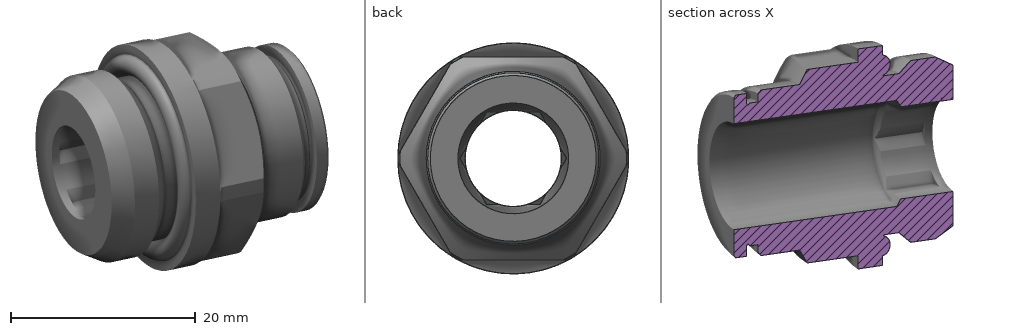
import cadquery as cq
import math


length = 26.4
collar_end = 1.55
groove_root = 1.72
neck_start = 1.93
body_start = 2.9
body_end = 7.92
flange_start = 14.92
flange_end = 17.9
seal_end = 18.83
relief_end = 19.85
thread_start = 21.29
thread_end = 24.22

collar_radius = 9.27
neck_radius = 8.13
groove_root_radius = 7.9
body_radius = 9.43
nut_corner_radius = 12.25
flange_diameter = 25.0
flange_radius = flange_diameter / 2
seal_outer_radius = 11.44
relief_radius = 9.05
thread_radius = 10.35
tip_radius = 9.1

collar_chamfer = 0.3
body_chamfer = 0.4
nut_cone_angle = 60.0
nut_across_flats = 22.0
cutter_clearance = 0.26
hexagon_half_angle = 30.0

bore_radius = 5.2
tube_radius = 6.0
socket_across_flats = 10.0
socket_front_wall = 0.95
bore_length = 6.35
seat_cone_length = 0.48

tube_end_y = length / 2
thread_end_y = -length / 2


def profile_point(radius, distance):
    """Place a profile point at a distance from the tube end."""
    return (radius, tube_end_y - distance)


def axial_cylinder(radius, start_y, end_y):
    """Cylinder on the Y axis from start_y up to end_y."""
    return cq.Workplane("XZ", origin=(0, end_y, 0)).circle(radius).extrude(end_y - start_y)


def axial_hexagon(across_flats, start_y, end_y):
    """Hexagonal prism on the Y axis, with two corners on the X axis."""
    across_corners = across_flats / math.cos(math.radians(hexagon_half_angle))
    return (
        cq.Workplane("XZ", origin=(0, end_y, 0))
        .polygon(6, across_corners)
        .extrude(end_y - start_y)
    )


def turned_body():
    cone_length = (nut_corner_radius - body_radius) / math.tan(math.radians(nut_cone_angle))
    flare = flange_radius - nut_corner_radius
    seal_middle_radius = (seal_outer_radius + relief_radius) / 2
    before_seal = [
        (0, 0),
        (collar_radius - collar_chamfer, 0),
        (collar_radius, collar_chamfer),
        (collar_radius, collar_end),
        (neck_radius, collar_end),
        (groove_root_radius, groove_root),
        (neck_radius, neck_start),
        (neck_radius, body_start),
        (body_radius - body_chamfer, body_start),
        (body_radius, body_start + body_chamfer),
        (body_radius, body_end),
        (nut_corner_radius, body_end + cone_length),
        (nut_corner_radius, flange_start - flare),
        (flange_radius, flange_start),
        (flange_radius, flange_end),
        (seal_outer_radius, flange_end),
    ]
    after_seal = [
        (relief_radius, relief_end),
        (thread_radius, thread_start),
        (thread_radius, thread_end),
        (tip_radius, length),
        (0, length),
    ]
    profile = cq.Workplane("XY").polyline([profile_point(*point) for point in before_seal])
    profile = profile.threePointArc(
        profile_point(seal_middle_radius, seal_end),
        profile_point(relief_radius, flange_end),
    )
    for point in after_seal:
        profile = profile.lineTo(*profile_point(*point))
    return profile.close().revolve(360, (0, 0, 0), (0, 1, 0))


def nut_flats_cutter():
    """Ring outside the nut hexagon, between the body and the flange."""
    start_y = tube_end_y - flange_start
    end_y = tube_end_y - body_end
    ring = axial_cylinder(flange_radius + cutter_clearance, start_y, end_y)
    return ring.cut(axial_hexagon(nut_across_flats, start_y, end_y))


def bore_cutter():
    """Through bore widening by a cone into the tube seat, with a hexagon socket."""
    cone_start_y = thread_end_y + bore_length
    seat_y = cone_start_y + seat_cone_length
    bore = (
        cq.Workplane("XY")
        .polyline(
            [
                (0, thread_end_y),
                (bore_radius, thread_end_y),
                (bore_radius, cone_start_y),
                (tube_radius, seat_y),
                (tube_radius, tube_end_y),
                (0, tube_end_y),
            ]
        )
        .close()
        .revolve(360, (0, 0, 0), (0, 1, 0))
    )
    socket = axial_hexagon(socket_across_flats, thread_end_y + socket_front_wall, seat_y)
    return bore.union(socket)


result = turned_body().cut(nut_flats_cutter()).cut(bore_cutter())